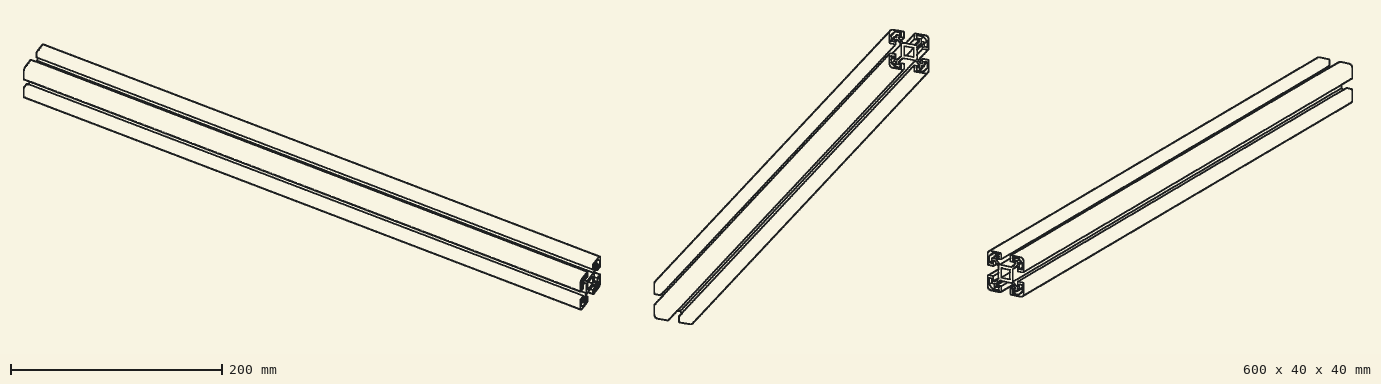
import cadquery as cq

length = 600.0
width = 40.0
corner_radius = 3.9
core_width = 16.0
bore_width = 9.5
web_thickness = 2.5

slot_opening = 10.0
slot_inner_width = 20.5
lip_radius = 1.5

outer_wall = 2.0
slot_side_wall = 1.7
lip_end_wall = 2.7
cavity_leg = 3.0
cavity_bevel = 3.9
cavity_step = 2.7

half = width / 2
core_half = core_width / 2
slot_half = slot_opening / 2
slot_inner_half = slot_inner_width / 2
cavity_outer = half - outer_wall
cavity_inner = cavity_outer - cavity_leg
lip_inner = cavity_inner - slot_side_wall
web_offset = web_thickness / 2 * 2**0.5


def square_bar(side):
    """Square bar along the full length, centred on the origin."""
    return cq.Workplane("YZ").rect(side, side).extrude(length / 2, both=True)


def slot():
    """T-slot open at the top: flat floor, flanks along the diagonal webs, rounded lips."""
    half_slot = (
        cq.Workplane("YZ")
        .moveTo(0, core_half)
        .lineTo(core_half - web_offset, core_half)
        .lineTo(slot_inner_half, slot_inner_half + web_offset)
        .lineTo(slot_inner_half, lip_inner)
        .lineTo(slot_half, lip_inner)
        .lineTo(slot_half, half - lip_radius)
        .radiusArc((slot_half + lip_radius, half), lip_radius)
        .lineTo(0, half)
        .close()
        .extrude(length / 2, both=True)
    )
    return half_slot.union(half_slot.mirror("XZ"))


def corner_cavity():
    """L-shaped hollow, bevelled at its outer corner and widened by a step at its inner corner."""
    step = cavity_inner - cavity_step
    end = slot_half + lip_end_wall
    upper_leg = [
        (step, step),
        (step, cavity_inner),
        (end, cavity_inner),
        (end, cavity_outer),
        (cavity_outer - cavity_bevel, cavity_outer),
    ]
    side_leg = [(z, y) for y, z in reversed(upper_leg[1:])]
    outline = cq.Workplane("YZ").polyline(upper_leg + side_leg).close()
    return outline.extrude(length / 2, both=True)


result = square_bar(width).edges("|X").fillet(corner_radius)
result = result.cut(square_bar(bore_width))
cutter = slot().union(corner_cavity())
for quarter_turn in range(4):
    result = result.cut(cutter.rotate((0, 0, 0), (1, 0, 0), 90 * quarter_turn))